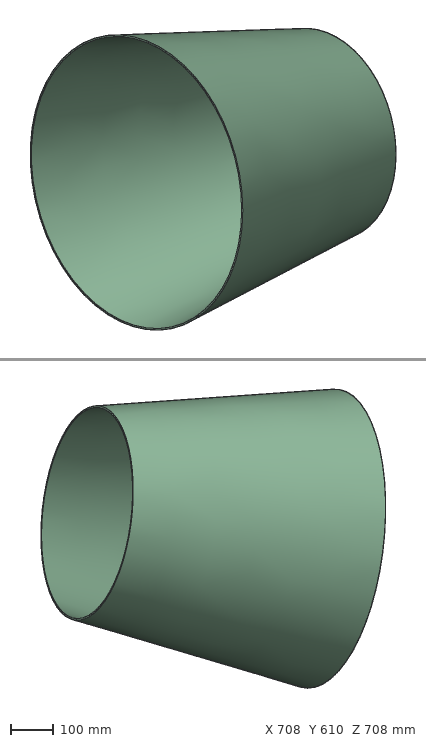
import cadquery as cq

large_diameter = 708.0
small_diameter = 507.5
length = 610.0
wall = 4.05

large_radius = large_diameter / 2
small_radius = small_diameter / 2

wall_section = (
    cq.Workplane("XY")
    .moveTo(large_radius - wall, 0)
    .lineTo(large_radius, 0)
    .lineTo(small_radius, length)
    .lineTo(small_radius - wall, length)
    .close()
)

result = wall_section.revolve(360, (0, 0, 0), (0, 1, 0))